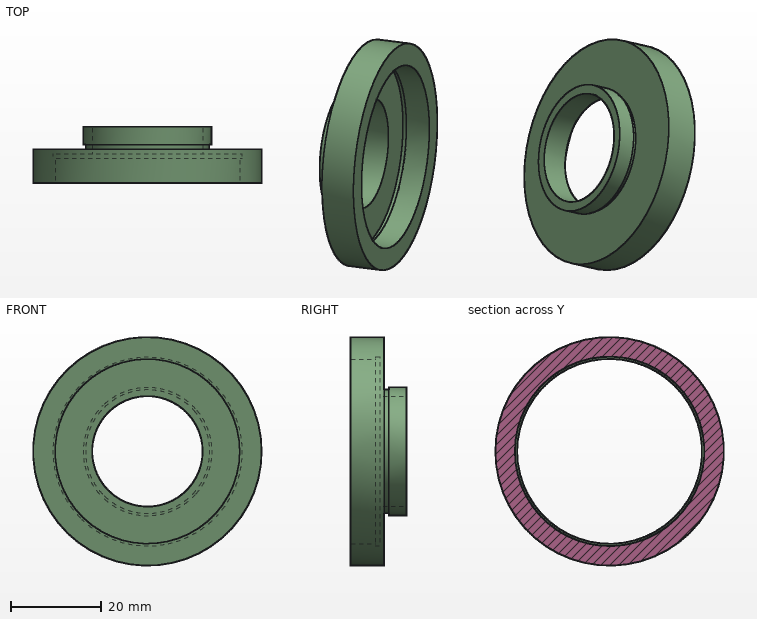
import cadquery as cq

flange_diameter = 50.8
total_length = 12.5
flange_thickness = 7.5

hub_diameter = 28.55
groove_diameter = 27.55
groove_width = 1.0

bore_diameter = 24.5
recess_diameter = 41.0
recess_depth = 6.5
recess_groove_diameter = 42.0

hub_start = flange_thickness + groove_width


def cylinder(diameter, start, end):
    """Solid cylinder about the Y axis between two Y positions."""
    plane = cq.Workplane("XZ", origin=(0, start, 0))
    return plane.circle(diameter / 2).extrude(start - end)


flange = cylinder(flange_diameter, 0, flange_thickness)
groove_neck = cylinder(groove_diameter, 0, hub_start)
hub = cylinder(hub_diameter, hub_start, total_length)
body = flange.union(groove_neck).union(hub)

recess = cylinder(recess_diameter, 0, recess_depth)
recess_groove = cylinder(recess_groove_diameter, recess_depth - groove_width, recess_depth)
bore = cylinder(bore_diameter, 0, total_length)
result = body.cut(recess).cut(recess_groove).cut(bore)